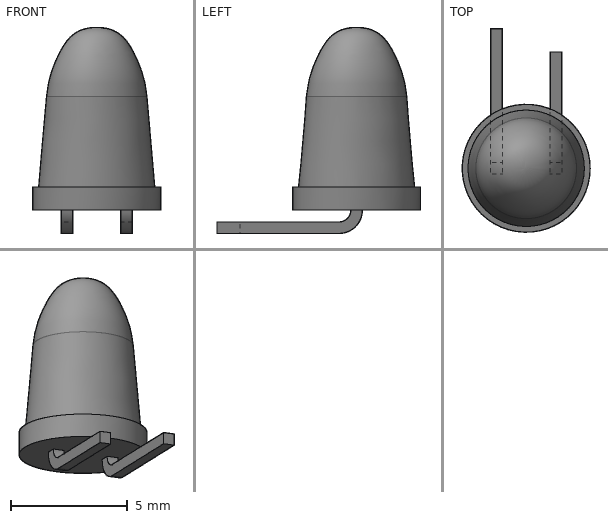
import cadquery as cq

flange_diameter = 5.5
flange_height = 1.0
body_base_radius = 2.5
body_top_radius = 2.16
body_height = 3.87
dome_height = 2.97
dome_shoulder_radius = 1.575
dome_shoulder_depth = 1.05

lead_size = 0.505
lead_offset = 1.27
lead_drop = 1.01
bend_inner_radius = lead_drop - lead_size
long_lead_reach = 5.99
lead_length_difference = 1.0

body_top = flange_height + body_height
dome_tip = body_top + dome_height


def make_body():
    """Revolve the flange, tapered wall and smoothly joined dome about Z."""
    flange_radius = flange_diameter / 2
    wall_direction = (body_top_radius - body_base_radius, body_height)
    tip_direction = (-1, 0)
    dome_shoulder = (dome_shoulder_radius, dome_tip - dome_shoulder_depth)
    return (
        cq.Workplane("XZ")
        .lineTo(flange_radius, 0)
        .lineTo(flange_radius, flange_height)
        .lineTo(body_base_radius, flange_height)
        .lineTo(body_top_radius, body_top)
        .spline(
            [dome_shoulder, (0, dome_tip)],
            tangents=[wall_direction, tip_direction],
            includeCurrent=True,
        )
        .close()
        .revolve(360, (0, 0, 0), (0, 1, 0))
    )


def make_lead(x_center, reach):
    """Extrude a bent lead whose upright end is centered under the body."""
    half = lead_size / 2
    bend_start = lead_drop - half
    return (
        cq.Workplane("YZ", origin=(x_center - half, 0, 0))
        .moveTo(-half, 0)
        .radiusArc((bend_start, -lead_drop), -lead_drop)
        .lineTo(reach, -lead_drop)
        .lineTo(reach, -bend_inner_radius)
        .lineTo(bend_start, -bend_inner_radius)
        .radiusArc((half, 0), bend_inner_radius)
        .close()
        .extrude(lead_size)
    )


long_lead = make_lead(-lead_offset, long_lead_reach)
short_lead = make_lead(lead_offset, long_lead_reach - lead_length_difference)
result = make_body().union(long_lead).union(short_lead)